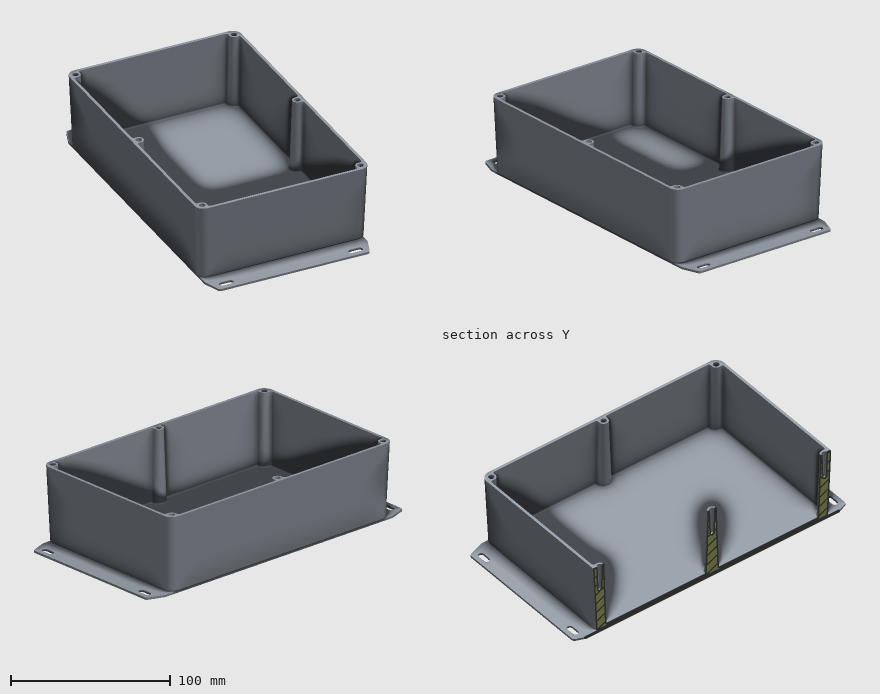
import cadquery as cq
import math

total_height = 53.5
plate_length = 216.6
plate_thickness = 1.5
box_length = 188.5
box_width = 120.0
box_height = total_height - plate_thickness

draft_angle = 2.0
outer_corner_radius = 6.3
bottom_edge_radius = 1.3
rim_wall = 2.0
floor_thickness = 2.2
floor_fillet_radius = 1.0
cavity_depth = box_height - floor_thickness

boss_radius = 3.2
corner_boss_root_radius = 1.3
middle_boss_root_radius = 1.7
root_clearance = 0.5
boss_x = 89.3
boss_y = 55.2
boss_sides = [(x_side, y_side) for x_side in (-1, 0, 1) for y_side in (-1, 1)]
boss_arm_reach = 13.0
screw_hole_diameter = 4.1
screw_hole_depth = 19.5
drill_tip_angle = 118.0

plate_width = 113.7
flange_end_width = 104.9
flange_taper_length = 12.1
flange_corner_radius = 2.2
slot_width = 4.1
slot_length = 9.7
slot_end_distance = 5.5
slot_x = plate_length / 2 - slot_end_distance
slot_y = 45.0


def tapered_block(length, width, depth):
    """Block hanging from the rim plane that narrows downwards by the draft angle."""
    block = cq.Workplane("XY", origin=(0, 0, total_height)).rect(length, width)
    return block.extrude(-depth, taper=draft_angle)


def boss_arm(x_side, y_side, angle):
    """Drafted, round-ended arm from one screw axis out past the wall, wider towards the floor."""
    growth = cavity_depth * math.tan(math.radians(draft_angle))
    base_width = 2 * (boss_radius + growth)
    arm = cq.Workplane("XY").center(boss_arm_reach / 2, 0)
    arm = arm.slot2D(boss_arm_reach + base_width, base_width)
    arm = arm.extrude(cavity_depth, taper=draft_angle)
    arm = arm.rotate((0, 0, 0), (0, 0, 1), angle)
    return arm.translate((x_side * boss_x, y_side * boss_y, total_height - cavity_depth))


def boss(x_side, y_side):
    """Screw boss that runs back into the long wall, and into the end wall too at a corner."""
    body = boss_arm(x_side, y_side, 90 * y_side)
    if x_side:
        body = body.union(boss_arm(x_side, y_side, 90 - 90 * x_side))
    return body


def is_boss_root(edge):
    """True for the upright cavity edges where a boss meets a wall."""
    middle = edge.Center()
    beside_long_wall = abs(middle.y) > boss_y + root_clearance
    beside_end_wall = abs(middle.x) > boss_x + root_clearance
    upright = edge.BoundingBox().zlen > cavity_depth / 2
    return upright and (beside_long_wall or beside_end_wall)


def is_middle_root(edge):
    return is_boss_root(edge) and abs(edge.Center().x) < boss_x / 2


def is_corner_root(edge):
    return is_boss_root(edge) and abs(edge.Center().x) > boss_x / 2


def cavity():
    """Drafted inside space with the bosses left standing and its inner edges rounded."""
    space = tapered_block(box_length - 2 * rim_wall, box_width - 2 * rim_wall, cavity_depth)
    for x_side, y_side in boss_sides:
        space = space.cut(boss(x_side, y_side))
    space = space.edges().filter(is_corner_root).fillet(corner_boss_root_radius)
    space = space.edges().filter(is_middle_root).fillet(middle_boss_root_radius)
    return space.faces("<Z").edges().fillet(floor_fillet_radius)


def screw_hole(x, y):
    """Blind hole that narrows by the draft angle and ends in a drill-point cone."""
    mouth_radius = screw_hole_diameter / 2
    bottom_radius = mouth_radius - screw_hole_depth * math.tan(math.radians(draft_angle))
    tip_depth = bottom_radius / math.tan(math.radians(drill_tip_angle / 2))
    half_section = [
        (0, 0),
        (mouth_radius, 0),
        (bottom_radius, -screw_hole_depth),
        (0, -screw_hole_depth - tip_depth),
    ]
    hole = cq.Workplane("XZ").polyline(half_section).close().revolve(360, (0, 0), (0, 1))
    return hole.translate((x, y, total_height))


def make_box():
    """Open-topped drafted box with a screw hole in each boss."""
    shell = tapered_block(box_length, box_width, box_height)
    shell = shell.edges("not(|X or |Y)").fillet(outer_corner_radius)
    shell = shell.faces("<Z").edges().fillet(bottom_edge_radius)
    shell = shell.cut(cavity())
    for x_side, y_side in boss_sides:
        shell = shell.cut(screw_hole(x_side * boss_x, y_side * boss_y))
    return shell


def make_plate():
    """Flat plate under the box, with a tapered, slotted flange at each end."""
    end_x = plate_length / 2
    shoulder_x = end_x - flange_taper_length
    end_y = flange_end_width / 2
    shoulder_y = plate_width / 2
    quarter = [(end_x, end_y), (shoulder_x, shoulder_y)]
    outline = quarter + [(-x, y) for x, y in reversed(quarter)]
    outline += [(x, -y) for x, y in reversed(outline)]
    plate = cq.Workplane("XY").polyline(outline).close().extrude(plate_thickness)
    plate = plate.edges("|Z").edges("<X or >X").fillet(flange_corner_radius)
    slots = cq.Workplane("XY").rect(2 * slot_x, 2 * slot_y, forConstruction=True).vertices()
    return plate.cut(slots.slot2D(slot_length, slot_width, 90).extrude(plate_thickness))


box = make_box()
plate = make_plate()
result = cq.Compound.makeCompound([box.val(), plate.val()])